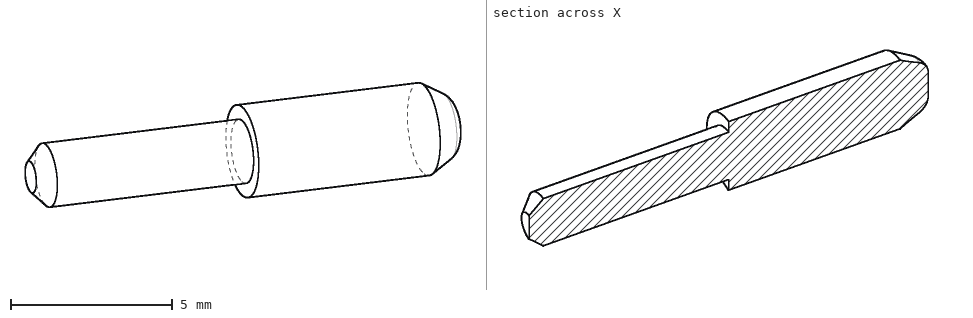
import cadquery as cq
import math

length = 14.0
body_diameter = 2.9
pin_diameter = 2.0
body_length = length / 2
pin_chamfer = 0.5

taper_length = 1.0
taper_half_angle = 30.0
nose_radius = 0.6

body_radius = body_diameter / 2
pin_radius = pin_diameter / 2
front_y = -length / 2
back_y = length / 2
shoulder_y = back_y - body_length
end_radius = body_radius - taper_length * math.tan(math.radians(taper_half_angle))


def revolved_pin():
    """Revolve the half profile, given as (radius, y), about the Y axis."""
    return (
        cq.Workplane("XY")
        .moveTo(0, front_y)
        .lineTo(pin_radius - pin_chamfer, front_y)
        .lineTo(pin_radius, front_y + pin_chamfer)
        .lineTo(pin_radius, shoulder_y)
        .lineTo(body_radius, shoulder_y)
        .lineTo(body_radius, back_y - taper_length)
        .lineTo(end_radius, back_y)
        .lineTo(0, back_y)
        .close()
        .revolve(360, (0, 0, 0), (0, 1, 0))
    )


result = revolved_pin().faces(">Y").edges().fillet(nose_radius)